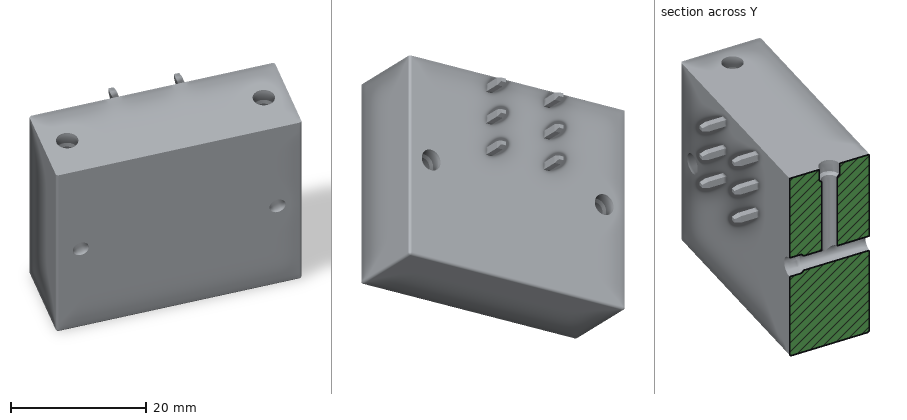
import cadquery as cq
import math

body_x = 13.4
body_y = 38.08
body_z = 32.0
edge_radius = 0.4

hole_spacing = 30.48
entry_diameter = 3.3
entry_depth = 2.0
bore_diameter = 2.5
cone_angle = 90.0

pitch = 5.08
pin_rows = 3
pin_column_spacing = 2 * pitch
pin_length = 4.0
pin_tip_length = 1.0
pin_width_y = 1.0
pin_width_z = 1.15
pin_tip_width_y = 0.8
pin_tip_width_z = 0.6
top_pin_inset = 2.15
top_pin_z = body_z - top_pin_inset

left_face_x = -body_x / 2
side_signs = (-1, 1)


def make_body():
    """Block with rounded vertical and bottom edges and a sharp top rim."""
    block = cq.Workplane("XY").box(body_x, body_y, body_z, centered=(True, True, False))
    return block.edges("|Z or <Z").fillet(edge_radius)


def stepped_hole(origin, direction, depth):
    """Wide entry that narrows through a cone to a long bore, revolved about its axis."""
    entry_radius = entry_diameter / 2
    bore_radius = bore_diameter / 2
    cone_depth = (entry_radius - bore_radius) / math.tan(math.radians(cone_angle / 2))
    profile = (
        cq.Workplane("XZ")
        .lineTo(entry_radius, 0)
        .lineTo(entry_radius, entry_depth)
        .lineTo(bore_radius, entry_depth + cone_depth)
        .lineTo(bore_radius, depth)
        .lineTo(0, depth)
        .close()
    )
    cutter = profile.revolve(360, (0, 0, 0), (0, 1, 0)).val()
    return cutter.moved(cq.Plane(origin=origin, normal=direction).location)


def make_pin(y, z):
    """Rectangular pin pointing to -X, with a tapered tip."""
    shank_length = pin_length - pin_tip_length
    shank = (
        cq.Workplane("YZ", origin=(left_face_x, y, z))
        .rect(pin_width_y, pin_width_z)
        .extrude(-shank_length)
    )
    tip = (
        cq.Workplane("YZ", origin=(left_face_x - shank_length, y, z))
        .rect(pin_width_y, pin_width_z)
        .workplane(offset=-pin_tip_length)
        .rect(pin_tip_width_y, pin_tip_width_z)
        .loft(ruled=True)
    )
    return shank.union(tip)


result = make_body()

for side in side_signs:
    hole_y = side * hole_spacing / 2
    result = result.cut(stepped_hole((left_face_x, hole_y, body_z / 2), (1, 0, 0), body_x))
    result = result.cut(stepped_hole((0, hole_y, body_z), (0, 0, -1), body_z / 2))

for side in side_signs:
    for row in range(pin_rows):
        pin_y = side * pin_column_spacing / 2
        result = result.union(make_pin(pin_y, top_pin_z - row * pitch))